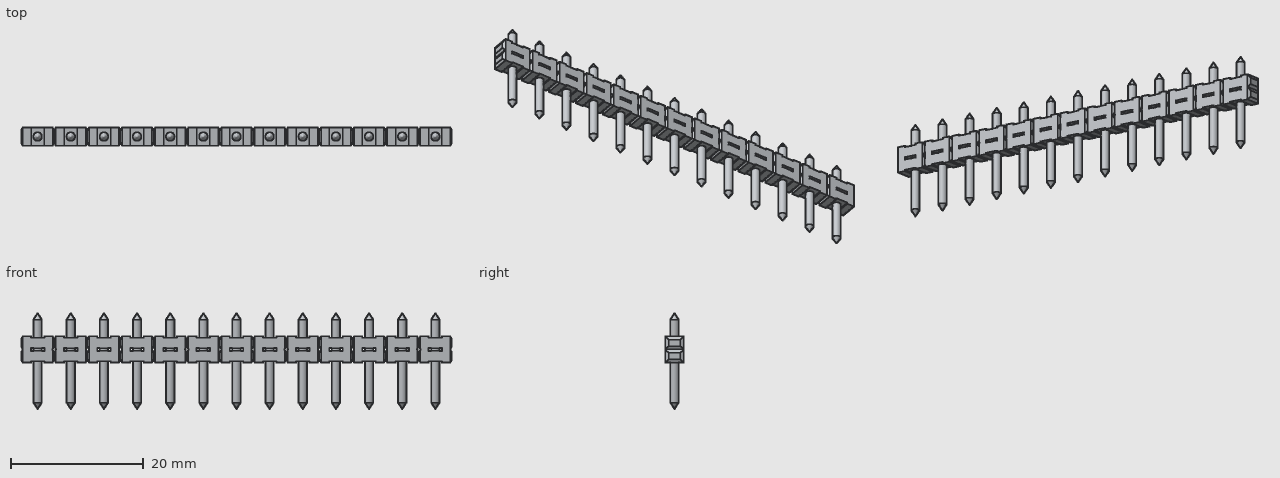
import cadquery as cq

module_count = 13
pitch = 5.0

stud_height = 0.25
body_length = pitch - 2 * stud_height
body_width = 2.8
body_height = 4.0

stud_base_height = body_height / 2
stud_inset = 0.5
stud_tip_width = body_width - 2 * stud_inset
stud_tip_height = stud_base_height - 2 * stud_inset

channel_length = 2.0
channel_depth = 0.2

slot_length = 2.0
slot_height = 0.4

pin_diameter = 1.3
pin_radius = pin_diameter / 2
pin_length = 14.5
pin_above_body = 3.5
point_length = 1.0
pin_top = body_height / 2 + pin_above_body
pin_bottom = pin_top - pin_length


def make_stud(side, z_center):
    """Tapered stud on the +X (side = 1) or -X (side = -1) end of a block."""
    return (
        cq.Workplane("YZ", origin=(side * body_length / 2, 0, z_center))
        .rect(body_width, stud_base_height)
        .workplane(offset=side * stud_height)
        .rect(stud_tip_width, stud_tip_height)
        .loft(ruled=True)
    )


def make_housing():
    """Block with its channels, slot and end studs, centred on the origin."""
    housing = cq.Workplane("XY").box(body_length, body_width, body_height)
    channel = cq.Workplane("XY").box(channel_length, body_width, 2 * channel_depth)
    slot = cq.Workplane("XY").box(slot_length, body_width, slot_height)
    housing = housing.cut(slot)
    for level in (-1, 1):
        housing = housing.cut(channel.translate((0, 0, level * body_height / 2)))
        for side in (-1, 1):
            housing = housing.union(make_stud(side, level * stud_base_height / 2))
    return housing


def make_pin():
    """Round pin with a pointed tip at each end, revolved about Z."""
    return (
        cq.Workplane("XZ")
        .moveTo(0, pin_bottom)
        .lineTo(pin_radius, pin_bottom + point_length)
        .lineTo(pin_radius, pin_top - point_length)
        .lineTo(0, pin_top)
        .close()
        .revolve(360, (0, 0, 0), (0, 1, 0))
    )


def make_row():
    """All modules side by side, centred along X."""
    module = make_housing().union(make_pin())
    first_x = -pitch * (module_count - 1) / 2
    row = module.translate((first_x, 0, 0))
    for index in range(1, module_count):
        row = row.union(module.translate((first_x + index * pitch, 0, 0)))
    return row


result = make_row()